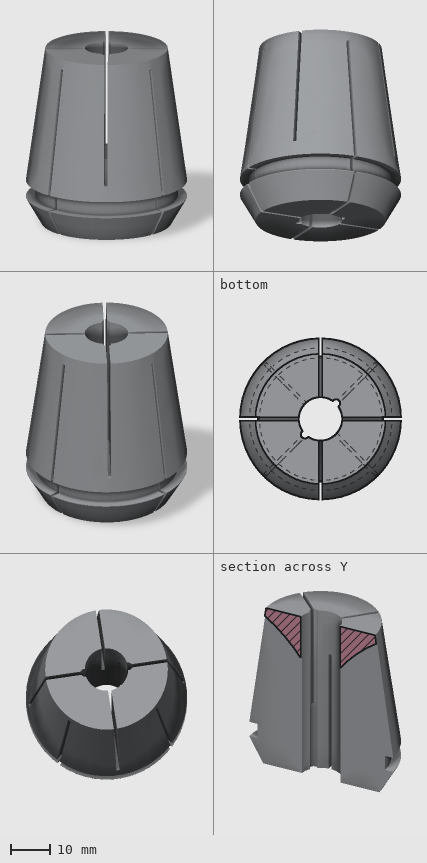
import cadquery as cq
import math


total_height = 46.0
max_radius = 20.5
taper_half_angle = 8.0
head_half_angle = 30.0
head_height = 7.0
head_rim_height = 0.15
groove_top = 11.1
groove_radius = 18.15
bore_radius = 5.5

relief_radius = 1.0
relief_offset = 5.6
relief_angles = (135, 315)

slot_width = 0.85
slots_per_end = 4
lower_slot_first_angle = 0
upper_slot_first_angle = 45
lower_slot_outer_top = 43.5
lower_slot_bore_top = 33.5
lower_slot_arc_radius = 40.0
upper_slot_outer_floor = 15.0
upper_slot_bore_floor = 19.3
upper_slot_arc_radius = 20.0
overcut = 2.0


def taper_radius(height):
    """Radius of the tapered body at a given height."""
    return max_radius - (height - groove_top) * math.tan(math.radians(taper_half_angle))


def collet_blank():
    """Solid of revolution with taper, groove, head and bore."""
    cone_height = head_height - head_rim_height
    bottom_radius = max_radius - cone_height * math.tan(math.radians(head_half_angle))
    return (
        cq.Workplane("XZ")
        .moveTo(bore_radius, 0)
        .lineTo(bottom_radius, 0)
        .lineTo(max_radius, cone_height)
        .lineTo(max_radius, head_height)
        .lineTo(groove_radius, head_height)
        .lineTo(groove_radius, groove_top)
        .lineTo(max_radius, groove_top)
        .lineTo(taper_radius(total_height), total_height)
        .lineTo(bore_radius, total_height)
        .close()
        .revolve(360, (0, 0, 0), (0, 1, 0))
    )


def slot_cutter(bore_end, outer_end, arc_radius, open_height):
    """Thin radial blade along +X: a saw arc joins its closed ends at bore and outer surface.

    The blade runs from that arc to open_height, beyond the end face it opens onto.
    """
    outer_radius = taper_radius(outer_end)
    run = outer_radius - bore_radius
    rise = outer_end - bore_end
    chord = math.hypot(run, rise)
    sagitta = arc_radius - math.sqrt(arc_radius**2 - (chord / 2) ** 2)
    bulge = -math.copysign(sagitta, open_height - outer_end)
    arc_middle = (
        (bore_radius + outer_radius) / 2 - bulge * rise / chord,
        (bore_end + outer_end) / 2 + bulge * run / chord,
    )
    clear_radius = max_radius + overcut
    return (
        cq.Workplane("XZ")
        .moveTo(0, bore_end)
        .lineTo(bore_radius, bore_end)
        .threePointArc(arc_middle, (outer_radius, outer_end))
        .lineTo(clear_radius, outer_end)
        .lineTo(clear_radius, open_height)
        .lineTo(0, open_height)
        .close()
        .extrude(slot_width / 2, both=True)
    )


def cut_slots(body, cutter, first_angle):
    """Cut equally spaced copies of a slot cutter around the axis."""
    for index in range(slots_per_end):
        angle = first_angle + index * 360 / slots_per_end
        body = body.cut(cutter.rotate((0, 0, 0), (0, 0, 1), angle))
    return body


def cut_relief_holes(body):
    """Cut the small full-length holes that break into the bore."""
    for angle in relief_angles:
        hole = (
            cq.Workplane("XY")
            .center(
                relief_offset * math.cos(math.radians(angle)),
                relief_offset * math.sin(math.radians(angle)),
            )
            .circle(relief_radius)
            .extrude(total_height)
        )
        body = body.cut(hole)
    return body


lower_slot = slot_cutter(
    lower_slot_bore_top, lower_slot_outer_top, lower_slot_arc_radius, -overcut
)
upper_slot = slot_cutter(
    upper_slot_bore_floor, upper_slot_outer_floor, upper_slot_arc_radius, total_height + overcut
)

collet = cut_relief_holes(collet_blank())
collet = cut_slots(collet, lower_slot, lower_slot_first_angle)
collet = cut_slots(collet, upper_slot, upper_slot_first_angle)

result = collet